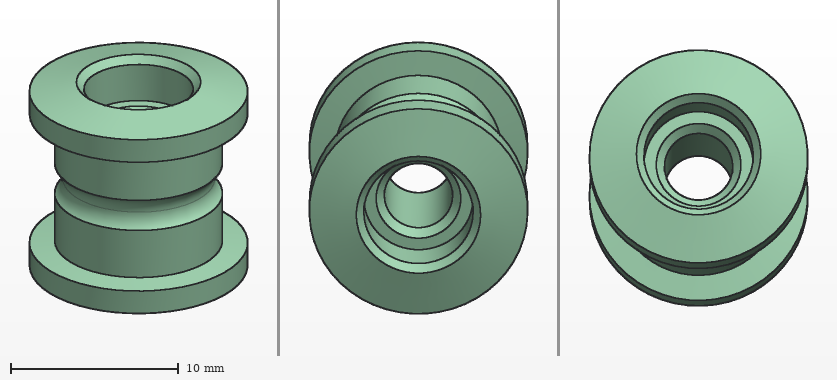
import cadquery as cq
import math

overall_height = 12.76
half_height = overall_height / 2

flange_radius = 6.5
flange_rim_height = 1.5
outer_face_drop = 0.6
inner_face_drop = 0.15

body_radius = 5.0
groove_half_width = 1.0
groove_depth = 0.47

bore_radius = 2.03
bore_chamfer = 0.49
counterbore_radius = 3.25
counterbore_chamfer = 0.45
counterbore_depth = 2.85

end_z = -half_height
rim_outer_z = end_z + outer_face_drop
rim_inner_z = rim_outer_z + flange_rim_height
flange_root_z = rim_inner_z + inner_face_drop
counterbore_floor_z = end_z + counterbore_depth

groove_radius = (groove_half_width**2 + groove_depth**2) / (2 * groove_depth)
waist_radius = body_radius - groove_depth
groove_center = waist_radius + groove_radius
groove_mid_angle = math.asin(groove_half_width / groove_radius) / 2
groove_mid_point = (
    groove_center - groove_radius * math.cos(groove_mid_angle),
    -groove_radius * math.sin(groove_mid_angle),
)


def lower_half():
    """Revolve the (radius, Z) section of the half below the middle plane."""
    section = (
        cq.Workplane("XZ")
        .moveTo(waist_radius, 0)
        .threePointArc(groove_mid_point, (body_radius, -groove_half_width))
        .lineTo(body_radius, flange_root_z)
        .lineTo(flange_radius, rim_inner_z)
        .lineTo(flange_radius, rim_outer_z)
        .lineTo(counterbore_radius + counterbore_chamfer, end_z)
        .lineTo(counterbore_radius, end_z + counterbore_chamfer)
        .lineTo(counterbore_radius, counterbore_floor_z)
        .lineTo(bore_radius + bore_chamfer, counterbore_floor_z)
        .lineTo(bore_radius, counterbore_floor_z + bore_chamfer)
        .lineTo(bore_radius, 0)
        .close()
    )
    return section.revolve(360, (0, 0, 0), (0, 1, 0))


lower = lower_half()
upper = lower.rotate((0, 0, 0), (1, 0, 0), 180)
result = lower.union(upper)